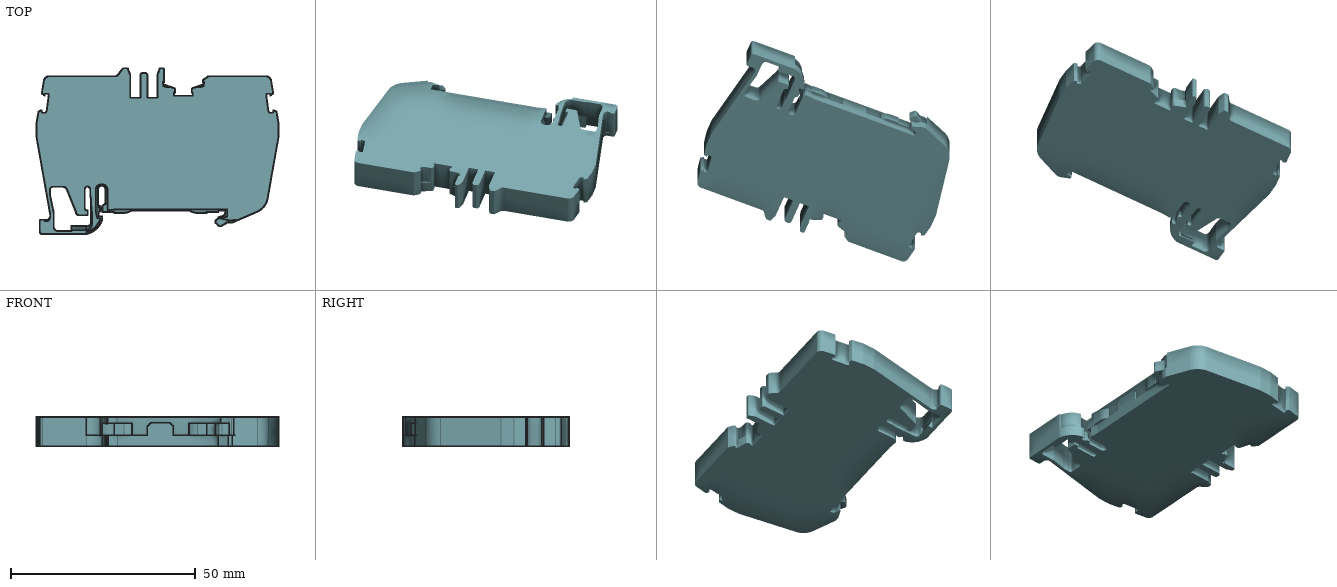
import cadquery as cq

THICKNESS = 8.0
BASE_HEIGHT = 3.0
PAD_TOP = 6.2
TAB_TOP = 6.4
TAB_SHOULDER = 5.45
HEEL_HEIGHT = 1.0
BARB_HEIGHT = 1.0

HALF_LENGTH = 32.8
TOP_Y = 20.35
FIN_Y = 22.5
BOTTOM_Y = -22.45
SHOULDER_X = 29.5
FLANK_TOP_Y = 7.55
FLANK_LOW_Y = 4.0

SLOT_FLOOR_Y = 14.5
FIN_SHOULDER_Y = 20.65
TONGUE_SHOULDER_Y = 20.4
TONGUE_TIP_Y = 21.25
LEFT_FIN_RIGHT = -7.35
TONGUE_LEFT = -4.65
TONGUE_RIGHT = -2.7
RIGHT_FIN_LEFT = -0.05
RIGHT_FIN_RIGHT = 1.8

SOCKET_X = 7.0
SOCKET_RIM_Y = 18.7
SOCKET_FLOOR_Y = 15.1
SOCKET_MOUTH = SOCKET_X - RIGHT_FIN_RIGHT

RAIL_X = 0.8
RAIL_BASE_Y = -16.1
RAIL_UPPER_Y = -15.7
TAB_HALF_WIDTH = 3.55
TAB_CHAMFER = 1.0
PAD_INNER = 7.6
PAD_CREST_INNER = 9.9
PAD_CREST_OUTER = 12.5
PAD_OUTER = 15.7
PAD_CREST_Y = -16.7
PAD_FLAT_Y = -16.45

CORNER_END = (26.95, -16.4)
FOOT_HEEL = (20.3, -19.3)
FOOT_STEP_X = 20.65
EDGE_SLOPE = (CORNER_END[1] - FOOT_HEEL[1]) / (CORNER_END[0] - FOOT_HEEL[0])
FOOT_STEP_Y = FOOT_HEEL[1] + EDGE_SLOPE * (FOOT_STEP_X - FOOT_HEEL[0])

SLOT_LEFT = -16.1
SLOT_RIGHT = -14.1
SLOT_TOP_Y = -9.3
WIDE_SLOT_LEFT = -16.7
WIDE_SLOT_RIGHT = -13.5
WIDE_SLOT_TOP_Y = -8.9
RIB_LOW_Y = -12.7
RIB_EDGE_Z = 5.6
RIB_WALL_Z = 6.5

WEDGE_LEFT = -23.3
WEDGE_RIGHT = -19.3
WEDGE_ROOT_Y = -21.5
WEDGE_TIP_Y = -20.2


def arc(middle, end):
    """Outline step: an arc through middle to end."""
    return middle, end


def extrude(steps, bottom, top):
    """Prism over a closed outline whose steps are points (lines) or arcs."""
    sketch = cq.Workplane("XY").workplane(offset=bottom).moveTo(*steps[0])
    for step in steps[1:]:
        if isinstance(step[0], tuple):
            sketch = sketch.threePointArc(*step)
        else:
            sketch = sketch.lineTo(*step)
    return sketch.close().extrude(top - bottom)


SHARED_EDGE = [
    (-29.05, -17.2),
    (-HALF_LENGTH, FLANK_LOW_Y),
    (-HALF_LENGTH, FLANK_TOP_Y),
    (-32.2, 10.8),
    (-30.8, 18.75),
    arc((-30.45, 19.8), (-SHOULDER_X, TOP_Y)),
    (-11.4, TOP_Y),
    arc((-10.9, 20.5), (-10.4, 21.05)),
    arc((-9.8, 22.0), (-9.25, FIN_Y)),
    (-8.1, FIN_Y),
    (LEFT_FIN_RIGHT, FIN_SHOULDER_Y),
    (LEFT_FIN_RIGHT, SLOT_FLOOR_Y),
    (TONGUE_LEFT, SLOT_FLOOR_Y),
    (TONGUE_LEFT, TONGUE_SHOULDER_Y),
    arc((-4.45, 21.0), (-4.1, TONGUE_TIP_Y)),
    (-3.3, TONGUE_TIP_Y),
    arc((-2.9, 21.0), (TONGUE_RIGHT, TONGUE_SHOULDER_Y)),
    (TONGUE_RIGHT, SLOT_FLOOR_Y),
    (RIGHT_FIN_LEFT, SLOT_FLOOR_Y),
    (RIGHT_FIN_LEFT, FIN_SHOULDER_Y),
    (0.45, 22.05),
    arc((0.6, 22.4), (0.9, FIN_Y)),
    (1.5, FIN_Y),
    (RIGHT_FIN_RIGHT, 22.25),
    (RIGHT_FIN_RIGHT, SOCKET_RIM_Y),
    (SOCKET_X + SOCKET_MOUTH, SOCKET_RIM_Y),
    (SOCKET_X + SOCKET_MOUTH, 19.3),
    (13.8, TOP_Y),
    (SHOULDER_X, TOP_Y),
    arc((30.45, 19.8), (30.8, 18.75)),
    (32.2, 10.8),
    (HALF_LENGTH, FLANK_TOP_Y),
    (HALF_LENGTH, FLANK_LOW_Y),
    (29.9, -12.3),
    arc((28.9, -14.8), CORNER_END),
]

HOOK_EDGE = [
    (-31.15, BOTTOM_Y),
    arc((-31.7, -22.25), (-31.9, -21.8)),
    (-31.9, -18.7),
    (-31.7, -18.5),
    (-30.6, -18.5),
    (-30.6, -18.9),
    (-29.65, -18.9),
    (-29.1, -18.3),
]

BASE_EDGE = [
    FOOT_HEEL,
    (19.15, -19.3),
    (16.45, -18.3),
    (16.45, -17.85),
    (17.3, -17.6),
    arc((18.05, -17.25), (18.3, -16.6)),
    (18.3, RAIL_BASE_Y),
    (-10.9, RAIL_BASE_Y),
    (-13.3, -16.35),
    (-13.7, -16.1),
    (SLOT_RIGHT, -15.4),
    (SLOT_RIGHT, -10.3),
    arc(((SLOT_LEFT + SLOT_RIGHT) / 2, SLOT_TOP_Y), (SLOT_LEFT, -10.3)),
    (SLOT_LEFT, -14.9),
    (-15.7, -15.3),
    (-15.55, -16.15),
    (-15.9, -16.45),
    (-15.9, -17.5),
    (-14.9, -17.5),
    (-14.9, -18.3),
    arc((-16.3, -20.7), (WEDGE_RIGHT, BOTTOM_Y)),
]

UPPER_EDGE = [
    (FOOT_STEP_X, FOOT_STEP_Y),
    (21.0, -18.5),
    (19.95, -18.7),
    (19.3, -18.7),
    (17.1, -18.2),
    (17.1, -18.05),
    (18.9, -17.7),
    (18.9, RAIL_UPPER_Y),
    (-11.1, RAIL_UPPER_Y),
    (WIDE_SLOT_RIGHT, -15.95),
    (WIDE_SLOT_RIGHT, -10.35),
    arc((-14.0, -9.4), (-14.95, WIDE_SLOT_TOP_Y)),
    (-15.3, WIDE_SLOT_TOP_Y),
    arc((-16.3, -9.4), (WIDE_SLOT_LEFT, -10.35)),
    (WIDE_SLOT_LEFT, -16.4),
    (-16.3, -18.1),
    (-15.5, -18.1),
    arc((-16.65, -20.35), (WEDGE_RIGHT, -21.85)),
    (WEDGE_RIGHT, BOTTOM_Y),
]

POCKET_SHARED = [
    (-27.2, WEDGE_ROOT_Y),
    arc((-27.8, -21.1), (-28.1, -20.4)),
    (-28.1, -16.6),
    (-29.05, -11.9),
    (-29.05, -10.3),
    arc((-28.85, -9.85), (-28.5, -9.65)),
    (-25.45, -9.65),
    arc((-25.0, -9.85), (-24.6, -10.25)),
    (-22.1, -16.4),
    arc((-21.9, -17.0), (-21.4, -17.3)),
    (-19.0, -17.3),
    (-18.8, -17.1),
    (-18.8, -15.95),
    arc((-19.4, -15.9), (-19.7, -15.5)),
    (-19.7, -10.3),
    arc((-18.95, -9.6), (-18.25, -10.3)),
    (-18.25, -12.0),
    (-18.05, -12.85),
]

BASE_POCKET_ARM = [
    (-18.05, -19.4),
    arc((-18.4, -20.0), (WEDGE_RIGHT, -20.3)),
    (WEDGE_RIGHT, WEDGE_ROOT_Y),
]

UPPER_POCKET_ARM = [
    (-17.7, -16.6),
    (-17.7, -19.8),
    arc((-18.1, -20.7), (WEDGE_RIGHT, -21.3)),
    (WEDGE_LEFT, -21.3),
    (WEDGE_LEFT, WEDGE_ROOT_Y),
]


def level(lower_edge, pocket_arm, bottom, top):
    """One level of the housing with its hook pocket."""
    outline = extrude(SHARED_EDGE + lower_edge + HOOK_EDGE, bottom, top)
    pocket = extrude(POCKET_SHARED + pocket_arm, bottom, top)
    return outline.cut(pocket)


def side_notch():
    """Barbed marker notch in the left flank."""
    outside_x = -HALF_LENGTH - 1.3
    return extrude(
        [
            (-32.2, 10.8),
            (-31.35, 11.15),
            (-31.2, 10.5),
            (-30.3, 10.5),
            (-30.05, 10.9),
            (-29.45, 15.3),
            (-29.6, 15.55),
            (-30.45, 15.55),
            (-30.5, 15.1),
            (-31.3, 15.6),
            (outside_x, 15.6),
            (outside_x, 10.8),
        ],
        0,
        THICKNESS,
    )


def socket_half(lip, bottom, top):
    """Right half of the snap socket, drawn about X = 0; lip is the sloping lead-in."""
    throat = [
        (2.9, 17.25),
        arc((2.4, 17.05), (2.2, 16.65)),
        (2.2, 15.9),
        (2.5, 15.9),
        (2.5, SOCKET_FLOOR_Y),
        (0, SOCKET_FLOOR_Y),
    ]
    return extrude([(0, SOCKET_RIM_Y), (5.5, SOCKET_RIM_Y)] + lip + throat, bottom, top)


def snap_socket():
    """Socket between the right fin and the shoulder, with a lower lip above the base."""
    base = socket_half([(5.5, 18.2)], 0, BASE_HEIGHT)
    upper = socket_half([(5.5, 17.65), (4.45, 17.3)], BASE_HEIGHT, THICKNESS)
    half = base.union(upper)
    return half.union(half.mirror("YZ")).translate((SOCKET_X, 0, 0))


def rail_pad():
    """Right rail pad, rounded towards the rail centre."""
    return extrude(
        [
            (RAIL_X + PAD_INNER, RAIL_UPPER_Y),
            (RAIL_X + 7.8, -16.0),
            arc((RAIL_X + 8.65, -16.45), (RAIL_X + PAD_CREST_INNER, PAD_CREST_Y)),
            (RAIL_X + PAD_CREST_OUTER, PAD_CREST_Y),
            (RAIL_X + PAD_CREST_OUTER, PAD_FLAT_Y),
            (RAIL_X + PAD_OUTER, PAD_FLAT_Y),
            (RAIL_X + PAD_OUTER, RAIL_UPPER_Y),
        ],
        BASE_HEIGHT,
        PAD_TOP,
    )


def slot_block():
    """Block joining the left pad to the mouth of the spring slot."""
    return extrude(
        [
            (RAIL_X - PAD_OUTER, PAD_FLAT_Y),
            (RAIL_X - PAD_OUTER, -14.7),
            (SLOT_RIGHT, -14.2),
            (WIDE_SLOT_RIGHT, -14.2),
            (RAIL_X - PAD_CREST_OUTER, RAIL_UPPER_Y),
            (RAIL_X - PAD_CREST_OUTER, PAD_FLAT_Y),
        ],
        BASE_HEIGHT,
        PAD_TOP,
    )


def foot_tip():
    """Rounded tip of the right foot."""
    return extrude(
        [
            (17.45, -17.9),
            (16.45, -18.1),
            (15.8, -18.6),
            arc((15.6, -18.95), (15.8, -19.4)),
            (16.6, -20.2),
            arc((17.0, -20.35), (17.45, -20.15)),
            (19.1, -19.15),
            (19.5, -18.9),
            (19.3, -18.5),
            (18.1, -18.2),
        ],
        BASE_HEIGHT,
        PAD_TOP,
    )


def centre_tab():
    """Chamfered tab that carries the base face up the middle of the rail edge."""
    inner = TAB_HALF_WIDTH - TAB_CHAMFER
    profile = [
        (-TAB_HALF_WIDTH, BASE_HEIGHT),
        (-TAB_HALF_WIDTH, TAB_SHOULDER),
        (-inner, TAB_TOP),
        (inner, TAB_TOP),
        (TAB_HALF_WIDTH, TAB_SHOULDER),
        (TAB_HALF_WIDTH, BASE_HEIGHT),
    ]
    tab = cq.Workplane("XZ").polyline(profile).close().extrude(RAIL_UPPER_Y - RAIL_BASE_Y)
    return tab.translate((RAIL_X, RAIL_UPPER_Y, 0))


def slot_rib():
    """Sloping rib on the right wall of the spring slot, under the widened part."""
    profile = [
        (SLOT_RIGHT, BASE_HEIGHT),
        (SLOT_RIGHT, RIB_EDGE_Z),
        (WIDE_SLOT_RIGHT, RIB_WALL_Z),
        (WIDE_SLOT_RIGHT, BASE_HEIGHT),
    ]
    rib_top_y = -9.5
    rib = cq.Workplane("XZ").polyline(profile).close().extrude(rib_top_y - RIB_LOW_Y)
    return rib.translate((0, rib_top_y, 0))


def pocket_wedge():
    """Wedge on the pocket floor that slopes down to an edge, away from the hook's lower bar."""
    profile = [
        (WEDGE_ROOT_Y, 0),
        (WEDGE_ROOT_Y, BASE_HEIGHT),
        (WEDGE_TIP_Y, 0),
    ]
    wedge = cq.Workplane("YZ").polyline(profile).close().extrude(WEDGE_RIGHT - WEDGE_LEFT)
    return wedge.translate((WEDGE_LEFT, 0, 0))


def arm_barb():
    """Low barb on the hook arm at the mouth of the spring slot."""
    return extrude(
        [
            (SLOT_LEFT, -14.5),
            (-15.5, -14.9),
            (-15.3, -15.4),
            (-15.3, -16.0),
            (-15.9, -16.45),
            (SLOT_LEFT, -16.45),
        ],
        0,
        BARB_HEIGHT,
    )


def heel_filler():
    """Low filler in the corner between the flank and the hook heel."""
    return extrude(
        [(-30.6, -18.9), (-30.6, -18.5), (-29.65, -18.5), (-29.1, -17.9), (-29.1, -18.9)],
        0,
        HEEL_HEIGHT,
    )


body = level(BASE_EDGE, BASE_POCKET_ARM, 0, BASE_HEIGHT)
body = body.union(level(UPPER_EDGE, UPPER_POCKET_ARM, BASE_HEIGHT, THICKNESS))

notch = side_notch()
body = body.cut(notch).cut(notch.mirror("YZ")).cut(snap_socket())

right_pad = rail_pad()
left_pad = right_pad.mirror("YZ", (RAIL_X, 0, 0))
additions = [
    right_pad,
    left_pad,
    slot_block(),
    foot_tip(),
    centre_tab(),
    slot_rib(),
    pocket_wedge(),
    arm_barb(),
    heel_filler(),
]
for addition in additions:
    body = body.union(addition)

result = body